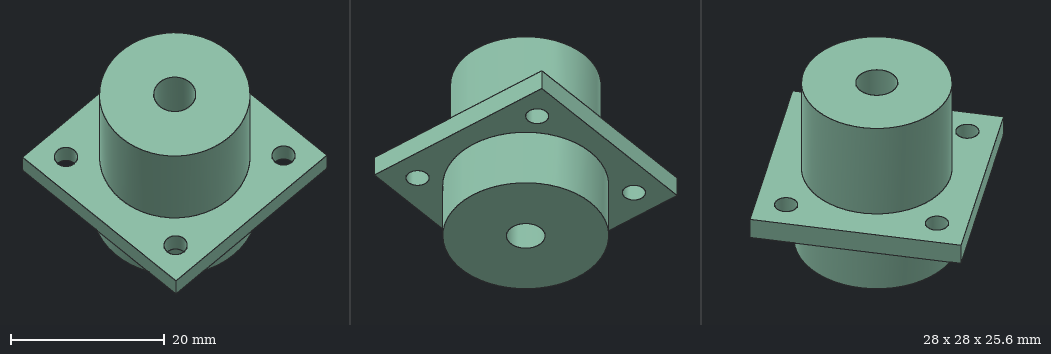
import cadquery as cq

flange_side = 28.0
flange_thickness = 3.0
hole_spacing = 20.0
hole_diameter = 3.0

upper_diameter = 19.6
upper_height = 14.0
lower_diameter = 21.6
lower_height = 8.55

wide_bore_diameter = 5.45
narrow_bore_diameter = 5.0
wide_bore_depth = upper_height

flange_top = lower_height + flange_thickness
total_height = flange_top + upper_height


def cylinder(diameter, bottom, height):
    """Vertical cylinder on the Z axis, starting at the given height."""
    return cq.Workplane("XY").workplane(offset=bottom).circle(diameter / 2).extrude(height)


flange = (
    cq.Workplane("XY")
    .workplane(offset=lower_height)
    .rect(flange_side, flange_side)
    .extrude(flange_thickness)
    .faces(">Z")
    .workplane()
    .rect(hole_spacing, hole_spacing, forConstruction=True)
    .vertices()
    .hole(hole_diameter)
)

lower_boss = cylinder(lower_diameter, 0, lower_height)
upper_boss = cylinder(upper_diameter, flange_top, upper_height)
body = flange.union(lower_boss).union(upper_boss)

narrow_bore = cylinder(narrow_bore_diameter, 0, total_height)
wide_bore = cylinder(wide_bore_diameter, total_height - wide_bore_depth, wide_bore_depth)
result = body.cut(narrow_bore).cut(wide_bore)